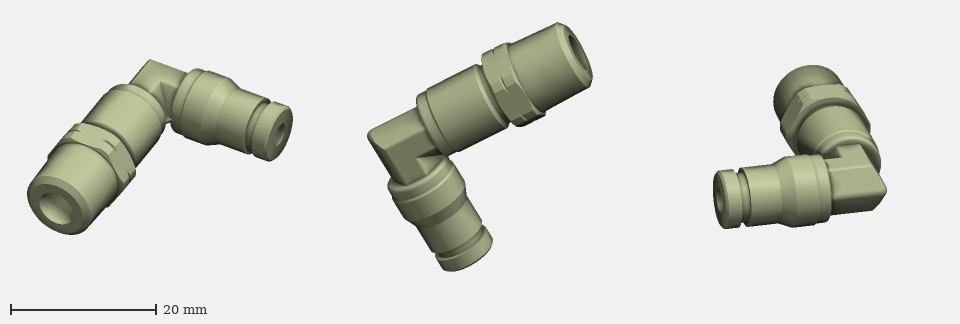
import cadquery as cq
import math


sleeve_radius = 4.925
collar_radius = 4.72
shoulder_fillet = 0.5
collar_length = 1.7
collar_step_length = 0.3

tube_shoulder = 4.79
tube_sleeve_end = 9.87
tube_cone_end = 11.75
tube_body_radius = 4.11
release_groove_start = 16.15
release_groove_end = 17.43
release_groove_radius = 3.45
release_ring_radius = 4.06
release_ring_chamfer = 0.32
tube_end = 19.64

stud_shoulder = 5.06
stud_sleeve_end = 15.02
stud_sleeve_cone = 0.49
neck_radius = 4.42
nut_start = 16.05
nut_length = 4.0
nut_end = nut_start + nut_length
nut_across_flats = 11.0
nut_corner_radius = 6.0
nut_chamfer_radius = 5.5
nut_chamfer_angle = 30
nut_chamfer_length = (nut_corner_radius - nut_chamfer_radius) * math.tan(math.radians(nut_chamfer_angle))
nut_groove_half_width = 0.2
nut_groove_radius = 5.7
thread_end = 28.185
thread_base_radius = 5.24
thread_taper = 1 / 32
thread_chamfer_length = 0.75
thread_tip_radius = 4.2

block_half_height = 3.58
outer_apex = 3.67
outer_flank_angle = 60
outer_ridge_radius = 1.0
outer_corner_radius = 1.02
edge_fillet = 0.5
inner_edge = 1.73
inner_limit = 4.47
overlap = 0.5

web_half_thickness = 0.25
web_arc_radius = 1.0
web_root = 4.0

inlet_radius = 2.67
inlet_end = nut_start
middle_radius = 2.03
middle_end = stud_shoulder
passage_radius = 1.63
drill_half_angle = 60


def revolved(outline):
    """Revolve (station, radius) points that start and end on the X axis."""
    return cq.Workplane("XY").polyline(outline).close().revolve(360, (0, 0, 0), (1, 0, 0))


def turned(outline):
    """Turned form about the X axis, with flat ends down to the axis."""
    return revolved([(outline[0][0], 0)] + outline + [(outline[-1][0], 0)])


def to_stud_axis(shape):
    """Turn a shape modelled along +X so that it runs along -Y."""
    return shape.rotate((0, 0, 0), (0, 0, 1), -90)


def sleeve(shoulder, rest_of_outline):
    """Turned arm starting with a rounded shoulder, a collar and the sleeve."""
    collar_end = shoulder + collar_length
    start = [
        (shoulder, collar_radius),
        (collar_end, collar_radius),
        (collar_end + collar_step_length, sleeve_radius),
    ]
    return turned(start + rest_of_outline).faces("<X").edges().fillet(shoulder_fillet)


def tube_arm():
    return sleeve(tube_shoulder, [
        (tube_sleeve_end, sleeve_radius),
        (tube_cone_end, tube_body_radius),
        (release_groove_start, tube_body_radius),
        (release_groove_start, release_groove_radius),
        (release_groove_end, release_groove_radius),
        (release_groove_end, release_ring_radius),
        (tube_end - release_ring_chamfer, release_ring_radius),
        (tube_end, release_ring_radius - release_ring_chamfer),
    ])


def stud_arm():
    chamfer_start = thread_end - thread_chamfer_length
    chamfer_start_radius = thread_base_radius - thread_taper * (chamfer_start - nut_end)
    return sleeve(stud_shoulder, [
        (stud_sleeve_end - stud_sleeve_cone, sleeve_radius),
        (stud_sleeve_end, neck_radius),
        (nut_end, neck_radius),
        (nut_end, thread_base_radius),
        (chamfer_start, chamfer_start_radius),
        (thread_end, thread_tip_radius),
    ])


def nut():
    """Hexagon trimmed by a turned form with chamfered ends and a middle V-groove."""
    across_corners = nut_across_flats / math.cos(math.pi / 6)
    hexagon = cq.Workplane("YZ", origin=(nut_start, 0, 0)).polygon(6, across_corners).extrude(nut_length)
    middle = nut_start + nut_length / 2
    form = turned([
        (nut_start, nut_chamfer_radius),
        (nut_start + nut_chamfer_length, nut_corner_radius),
        (middle - nut_groove_half_width, nut_corner_radius),
        (middle, nut_groove_radius),
        (middle + nut_groove_half_width, nut_corner_radius),
        (nut_end - nut_chamfer_length, nut_corner_radius),
        (nut_end, nut_chamfer_radius),
    ])
    return hexagon.intersect(form)


def elbow_leg():
    """Leg of the elbow block along +X, outer side facing +Y, mitred at the origin."""
    outer_edge = outer_apex - block_half_height / math.tan(math.radians(outer_flank_angle))
    outline = [
        (outer_apex, 0),
        (outer_edge, block_half_height),
        (-inner_edge, block_half_height),
        (-inner_limit, web_half_thickness),
        (-inner_limit, -web_half_thickness),
        (-inner_edge, -block_half_height),
        (outer_edge, -block_half_height),
        (outer_apex, 0),
    ]
    section = (
        cq.Sketch().polygon(outline)
        .vertices(">X").fillet(outer_ridge_radius).reset()
        .vertices(">Y or <Y").fillet(edge_fillet)
    )
    leg_end = tube_shoulder + overlap
    leg = (
        cq.Workplane("YZ", origin=(-outer_apex, 0, 0))
        .placeSketch(section).extrude(leg_end + outer_apex)
    )
    mitre = (
        cq.Workplane("XY").polyline([(-leg_end, leg_end), (leg_end, leg_end), (leg_end, -leg_end)]).close()
        .extrude(block_half_height, both=True)
    )
    return leg.intersect(mitre)


def rounded_outer_corner(block):
    """Replace the sharp outer corner by the ridge turned about a vertical axis."""
    ridge_top = outer_apex - outer_ridge_radius * (1 / math.sin(math.radians(outer_flank_angle)) - 1)
    centre = ridge_top - outer_corner_radius
    reach = outer_apex - centre
    half_height = reach * math.tan(math.radians(outer_flank_angle))
    corner_box = cq.Workplane("XY").box(reach, reach, 2 * block_half_height)
    corner_box = corner_box.translate((-centre - reach / 2, centre + reach / 2, 0))
    ridge = (
        cq.Sketch().polygon([(0, half_height), (-reach, 0), (0, -half_height), (0, half_height)])
        .vertices("<X").fillet(outer_ridge_radius)
    )
    turned_ridge = (
        cq.Workplane("XZ", origin=(-centre, centre, 0))
        .placeSketch(ridge).revolve(90, (0, 0, 0), (0, -1, 0))
    )
    return block.cut(corner_box).union(turned_ridge)


def elbow_block():
    leg = elbow_leg()
    other_leg = leg.mirror("YZ").rotate((0, 0, 0), (0, 0, 1), 90)
    return rounded_outer_corner(leg.union(other_leg))


def corner_web():
    """Thin web with a concave edge tangent to both collars."""
    tangent = collar_radius + web_arc_radius
    arc_middle = tangent - web_arc_radius * math.sqrt(0.5)
    return (
        cq.Workplane("XY")
        .moveTo(web_root, -web_root)
        .lineTo(web_root, -tangent)
        .lineTo(collar_radius, -tangent)
        .threePointArc((arc_middle, -arc_middle), (tangent, -collar_radius))
        .lineTo(tangent, -web_root)
        .close()
        .extrude(web_half_thickness, both=True)
    )


def passage(end):
    """Drilled passage from the end of an arm to the origin, with a conical bottom."""
    tip = passage_radius / math.tan(math.radians(drill_half_angle))
    outline = [(-tip, 0), (0, passage_radius), (end, passage_radius), (end, 0)]
    return revolved(outline)


def stud_bore():
    steps = turned([
        (middle_end, middle_radius),
        (inlet_end, middle_radius),
        (inlet_end, inlet_radius),
        (thread_end, inlet_radius),
    ])
    return passage(thread_end).union(steps)


result = (
    elbow_block()
    .union(tube_arm())
    .union(to_stud_axis(stud_arm().union(nut())))
    .union(corner_web())
    .cut(passage(tube_end))
    .cut(to_stud_axis(stud_bore()))
)